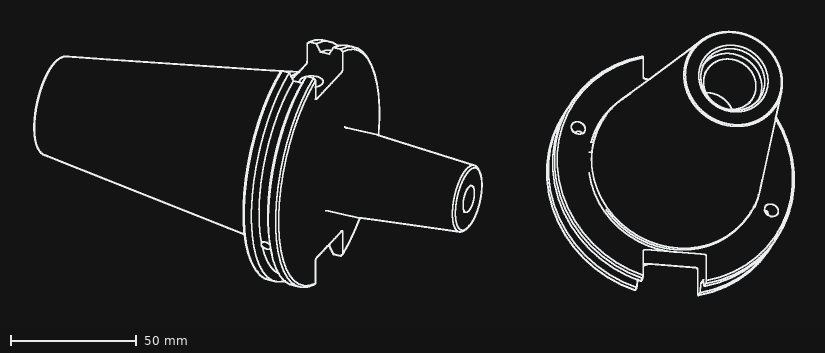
import cadquery as cq
import math

total_length = 181.6

taper_small_radius = 20.2
taper_large_radius = 34.9
taper_end_x = 101.3
taper_edge_chamfer = 0.5
relief_radius = 69.2 / 2
relief_start_x = 102.5
relief_fillet = 0.7

flange_radius = 49.0
flange_start_x = 104.8
flange_width = 15.6
flange_end_x = flange_start_x + flange_width
flange_edge_chamfer = 0.9
groove_radius = 45.8
groove_centre_x = flange_start_x + flange_width / 2
groove_floor_width = 3.8
groove_mouth_width = 7.5

nose_radius = 34.0 / 2
nose_fillet = 3.3
nose_taper_start_x = 136.7
nose_tip_radius = 13.6
nose_tip_chamfer = 0.9

mouth_radius = 14.2
counterbore_radius = 26.2 / 2
mouth_chamfer = mouth_radius - counterbore_radius
counterbore_depth = 6.5
bore_radius = 21.5 / 2
bore_depth = 45.4
cone_half_angle = 59.0
channel_radius = 10.9 / 2
cone_length = (bore_radius - channel_radius) / math.tan(math.radians(cone_half_angle))

slot_width = 25.8
slot_corner_fillet = 0.9
upper_slot_floor_z = 37.5
lower_slot_floor_z = -35.2

dimple_radius = 9.5 / 2
dimple_depth = dimple_radius / math.tan(math.radians(cone_half_angle))

coolant_angle = 19.8
coolant_hole_radius = 5.0 / 2
coolant_pitch_radius = 42.0
coolant_tilt = 28.0
cross_hole_radius = 4.2 / 2


def make_body():
    """Revolve the outer outline, given as X and radius, around the X axis."""
    groove_floor_half = groove_floor_width / 2
    groove_mouth_half = groove_mouth_width / 2
    relief_fillet_middle = relief_fillet * (1 - math.sqrt(0.5))
    nose_fillet_middle = nose_fillet * (1 - math.sqrt(0.5))
    outline = (
        cq.Workplane("XY")
        .moveTo(0, 0)
        .lineTo(0, taper_small_radius - taper_edge_chamfer)
        .lineTo(taper_edge_chamfer, taper_small_radius)
        .lineTo(taper_end_x, taper_large_radius)
        .lineTo(relief_start_x, relief_radius)
        .lineTo(flange_start_x - relief_fillet, relief_radius)
        .threePointArc(
            (flange_start_x - relief_fillet_middle, relief_radius + relief_fillet_middle),
            (flange_start_x, relief_radius + relief_fillet),
        )
        .lineTo(flange_start_x, flange_radius - flange_edge_chamfer)
        .lineTo(flange_start_x + flange_edge_chamfer, flange_radius)
        .lineTo(groove_centre_x - groove_mouth_half, flange_radius)
        .lineTo(groove_centre_x - groove_floor_half, groove_radius)
        .lineTo(groove_centre_x + groove_floor_half, groove_radius)
        .lineTo(groove_centre_x + groove_mouth_half, flange_radius)
        .lineTo(flange_end_x - flange_edge_chamfer, flange_radius)
        .lineTo(flange_end_x, flange_radius - flange_edge_chamfer)
        .lineTo(flange_end_x, nose_radius + nose_fillet)
        .threePointArc(
            (flange_end_x + nose_fillet_middle, nose_radius + nose_fillet_middle),
            (flange_end_x + nose_fillet, nose_radius),
        )
        .lineTo(nose_taper_start_x, nose_radius)
        .lineTo(total_length - nose_tip_chamfer, nose_tip_radius)
        .lineTo(total_length, nose_tip_radius - nose_tip_chamfer)
        .lineTo(total_length, 0)
        .close()
    )
    return outline.revolve(360, (0, 0, 0), (1, 0, 0))


def make_bore():
    """Stepped bore with a conical bottom that leads into the through channel."""
    outline = (
        cq.Workplane("XY")
        .moveTo(0, 0)
        .lineTo(0, mouth_radius)
        .lineTo(mouth_chamfer, counterbore_radius)
        .lineTo(counterbore_depth, counterbore_radius)
        .lineTo(counterbore_depth, bore_radius)
        .lineTo(bore_depth, bore_radius)
        .lineTo(bore_depth + cone_length, channel_radius)
        .lineTo(total_length, channel_radius)
        .lineTo(total_length, 0)
        .close()
    )
    return outline.revolve(360, (0, 0, 0), (1, 0, 0))


def make_drive_slot(floor_z):
    """Slot across the flange rim, open outward, with rounded floor corners."""
    outward = math.copysign(1, floor_z)
    height = flange_radius - abs(floor_z)
    slot = cq.Workplane("XY").box(flange_width, slot_width, height)
    floor_face = "<Z" if outward > 0 else ">Z"
    slot = slot.faces(floor_face).edges("|X").fillet(slot_corner_fillet)
    return slot.translate((groove_centre_x, 0, floor_z + outward * height / 2))


def make_dimple():
    """Cone pointing down from the upper slot floor."""
    return cq.Workplane(
        cq.Solid.makeCone(
            dimple_radius,
            0,
            dimple_depth,
            pnt=cq.Vector(groove_centre_x, 0, upper_slot_floor_z),
            dir=cq.Vector(0, 0, -1),
        )
    )


def make_coolant_hole(angle):
    """Hole leaning inward from the flange face, met by a radial hole from the groove."""
    axial = cq.Vector(1, 0, 0)
    radial = cq.Vector(0, math.cos(math.radians(angle)), math.sin(math.radians(angle)))
    tilt = math.radians(coolant_tilt)
    direction = axial * math.cos(tilt) - radial * math.sin(tilt)
    mouth = axial * flange_start_x + radial * coolant_pitch_radius

    axial_reach = groove_centre_x - flange_start_x
    meeting_radius = coolant_pitch_radius - axial_reach * math.tan(tilt)
    meeting_point = axial * groove_centre_x + radial * meeting_radius

    lead_in = coolant_hole_radius
    inclined_hole = cq.Solid.makeCylinder(
        coolant_hole_radius,
        axial_reach / math.cos(tilt) + lead_in,
        pnt=mouth - direction * lead_in,
        dir=direction,
    )
    cross_hole = cq.Solid.makeCylinder(
        cross_hole_radius,
        flange_radius - meeting_radius,
        pnt=meeting_point,
        dir=radial,
    )
    return cq.Workplane(inclined_hole).union(cq.Workplane(cross_hole))


result = make_body().cut(make_bore())
for slot_floor_z in (upper_slot_floor_z, lower_slot_floor_z):
    result = result.cut(make_drive_slot(slot_floor_z))
result = result.cut(make_dimple())
for hole_angle in (coolant_angle, coolant_angle + 180):
    result = result.cut(make_coolant_hole(hole_angle))